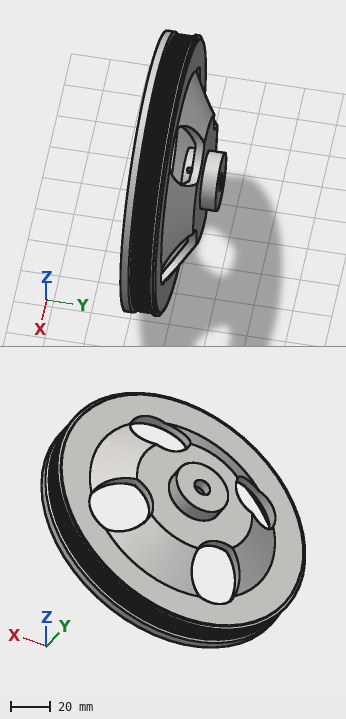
import cadquery as cq
import math

outer_radius = 71.8
rim_length = 17.7
recess_radius = 65.3
recess_depth = 5.9
back_flange_end = 16.5
back_edge_radius = 69.9

groove_count = 6
first_groove_position = 5.2
last_groove_position = 14.0
groove_pitch = (last_groove_position - first_groove_position) / (groove_count - 1)
groove_root_radius = 69.9
groove_root_width = 0.3
groove_half_angle = 25
rib_radius = 70.7

web_back = 30.3
web_thickness = 4.5
web_front = web_back - web_thickness
web_back_radius = 33.3
web_front_radius = 32.1
cone_base_radius = 53.5

hub_radius = 14.9
hub_front = 20.1
hub_back = 38.3
bore_radius = 7.5
bore_depth = 12.5
bore_chamfer = 0.36
through_hole_radius = 4.5

window_count = 4
window_start_angle = 67.5
window_radius = 14.9
window_circle_radius = 42.0
screw_hole_radius = 1.5
screw_hole_position = 23.5
screw_hole_reach = hub_radius + 2 * screw_hole_radius


def revolve_about_axis(profile):
    """Turn a closed (radius, axial position) outline about the Y axis."""
    return profile.close().revolve(360, (0, 0), (0, 1))


def groove_half_width(radius):
    """Half the axial width of a belt groove at the given radius."""
    return groove_root_width / 2 + (radius - groove_root_radius) * math.tan(math.radians(groove_half_angle))


def pulley_body():
    """Rim, belt ribs and conical web as one turned shape."""
    profile = cq.Workplane("XY").moveTo(0, web_front).lineTo(web_front_radius, web_front)
    profile = profile.lineTo(recess_radius, recess_depth).lineTo(recess_radius, 0)
    profile = profile.lineTo(outer_radius, 0)
    for groove in range(groove_count):
        center = first_groove_position + groove * groove_pitch
        front_top_radius = outer_radius if groove == 0 else rib_radius
        back_top_radius = outer_radius if groove == groove_count - 1 else rib_radius
        profile = profile.lineTo(front_top_radius, center - groove_half_width(front_top_radius))
        profile = profile.lineTo(groove_root_radius, center - groove_root_width / 2)
        profile = profile.lineTo(groove_root_radius, center + groove_root_width / 2)
        profile = profile.lineTo(back_top_radius, center + groove_half_width(back_top_radius))
    profile = profile.lineTo(outer_radius, back_flange_end)
    profile = profile.lineTo(back_edge_radius, back_flange_end).lineTo(back_edge_radius, rim_length)
    profile = profile.lineTo(cone_base_radius, rim_length).lineTo(web_back_radius, web_back)
    profile = profile.lineTo(0, web_back)
    return revolve_about_axis(profile)


def hub():
    """Solid boss on the axis, passing through the web."""
    profile = cq.Workplane("XY").moveTo(0, hub_front).lineTo(hub_radius, hub_front)
    profile = profile.lineTo(hub_radius, hub_back).lineTo(0, hub_back)
    return revolve_about_axis(profile)


def stepped_bore():
    """Chamfered bore open to the front, with a smaller hole through its floor."""
    bore_floor = hub_front + bore_depth
    profile = cq.Workplane("XY").moveTo(0, hub_front).lineTo(bore_radius + bore_chamfer, hub_front)
    profile = profile.lineTo(bore_radius, hub_front + bore_chamfer).lineTo(bore_radius, bore_floor)
    profile = profile.lineTo(through_hole_radius, bore_floor).lineTo(through_hole_radius, hub_back)
    profile = profile.lineTo(0, hub_back)
    return revolve_about_axis(profile)


def window_cutter(angle):
    """Window parallel to the axis, angle measured from +X toward +Z."""
    x = window_circle_radius * math.cos(math.radians(angle))
    z = window_circle_radius * math.sin(math.radians(angle))
    start = cq.Vector(x, 0, z)
    return cq.Workplane(cq.Solid.makeCylinder(window_radius, hub_back, start, cq.Vector(0, 1, 0)))


def screw_hole_cutter(angle):
    """Radial hole from the axis out through the hub wall."""
    direction = cq.Vector(math.cos(math.radians(angle)), 0, math.sin(math.radians(angle)))
    start = cq.Vector(0, screw_hole_position, 0)
    return cq.Workplane(cq.Solid.makeCylinder(screw_hole_radius, screw_hole_reach, start, direction))


result = pulley_body().union(hub()).cut(stepped_bore())
for index in range(window_count):
    angle = window_start_angle + index * 360 / window_count
    result = result.cut(window_cutter(angle)).cut(screw_hole_cutter(angle))